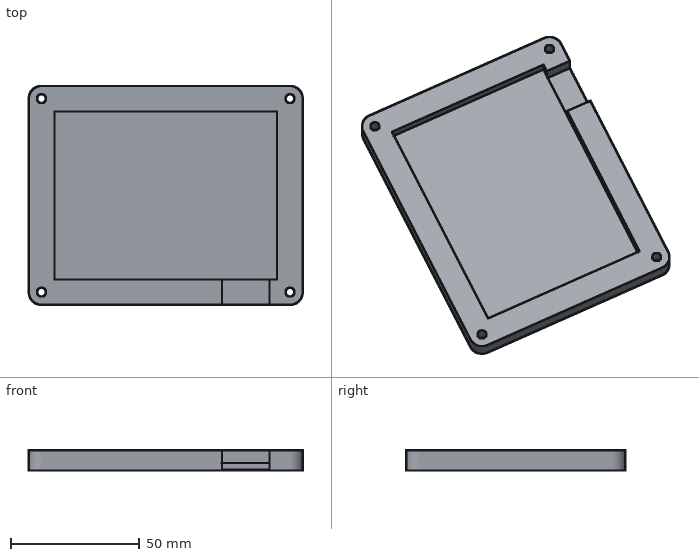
import cadquery as cq

LENGTH = 106.7
WIDTH = 85.3
HEIGHT = 8.0
CORNER_RADIUS = 5.0

WALL = 10.0
FLOOR_THICKNESS = 3.0
POCKET_LENGTH = LENGTH - 2 * WALL
POCKET_WIDTH = WIDTH - 2 * WALL

HOLE_DIAMETER = 3.4
HOLE_INSET = CORNER_RADIUS

OPENING_LENGTH = 18.5
OPENING_END_INSET = 13.0
OPENING_FLOOR = 0.5


def make_body():
    """Plate with rounded vertical corners, standing on Z = 0."""
    plate = cq.Workplane("XY").box(LENGTH, WIDTH, HEIGHT, centered=(True, True, False))
    return plate.edges("|Z").fillet(CORNER_RADIUS)


def make_pocket():
    """Volume removed to form the pocket."""
    depth = HEIGHT - FLOOR_THICKNESS
    return (
        cq.Workplane("XY")
        .workplane(offset=FLOOR_THICKNESS)
        .box(POCKET_LENGTH, POCKET_WIDTH, depth, centered=(True, True, False))
    )


def make_wall_opening():
    """Volume removed from the -Y wall, running from the outside to the pocket."""
    start_x = LENGTH / 2 - OPENING_END_INSET - OPENING_LENGTH
    return (
        cq.Workplane("XY")
        .box(OPENING_LENGTH, WALL, HEIGHT - OPENING_FLOOR, centered=False)
        .translate((start_x, -WIDTH / 2, OPENING_FLOOR))
    )


def make_screw_holes():
    """Four through holes, one at each corner."""
    return (
        cq.Workplane("XY")
        .rect(LENGTH - 2 * HOLE_INSET, WIDTH - 2 * HOLE_INSET, forConstruction=True)
        .vertices()
        .circle(HOLE_DIAMETER / 2)
        .extrude(HEIGHT)
    )


result = make_body().cut(make_pocket()).cut(make_wall_opening()).cut(make_screw_holes())